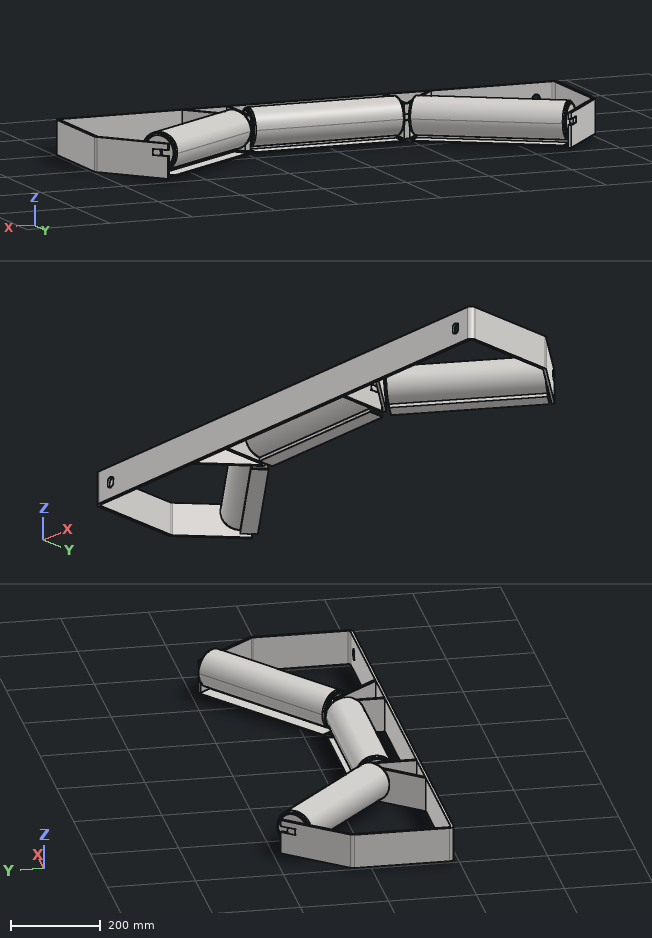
import cadquery as cq
import math

bar_thickness = 7.0
bar_height = 80.0
bend_radius = 12.5
frame_width = 1210.0

trough_angle = 40.0
tilt_angle = 1.5
plate_gap = 371.0

roller_diameter = 88.9
roller_length = 362.0
roller_chamfer = 3.0
end_cap_diameter = 75.0
end_cap_clearance = 1.2
shaft_diameter = 20.0
shaft_flats = 14.0
slot_depth = 60.0
end_cap_length = plate_gap - 2 * end_cap_clearance
shaft_length = plate_gap + 2 * bar_thickness

strip_width = 40.0
strip_thickness = 3.0
strip_drop = 53.1

middle_y = 98.5
middle_z = 48.5
side_z = 53.5
side_along = 235.0
side_across = -54.9
arm_end_across = -27.6
bracket_top = 128.5

fixing_x = 555.0
fixing_z = bar_height / 2
fixing_width = 18.0
fixing_height = 25.5

cos_trough = math.cos(math.radians(trough_angle))
sin_trough = math.sin(math.radians(trough_angle))


def plan_point(along, across):
    """X and Y of a point given along and across the left side roller."""
    return (sin_trough * across - cos_trough * along, cos_trough * across + sin_trough * along)


def along_at_x(along, x):
    """The point with this X on the plate face that lies square to the roller at this distance."""
    return (x, (along + cos_trough * x) / sin_trough)


def along_at_y(along, y):
    """The point with this Y on the plate face that lies square to the roller at this distance."""
    return ((sin_trough * y - along) / cos_trough, y)


def mirrored(points):
    return [(-x, y) for x, y in reversed(points)]


def place_middle(part):
    return part.translate((0, middle_y, middle_z))


def place_left(part):
    x, y = plan_point(side_along + plate_gap / 2, side_across)
    tilted = part.rotate((0, 0, 0), (0, 1, 0), tilt_angle)
    return tilted.rotate((0, 0, 0), (0, 0, 1), -trough_angle).translate((x, y, side_z))


def place_right(part):
    return place_left(part).mirror("YZ")


placements = [place_left, place_middle, place_right]


def shaft_slots():
    """Cutter for the two open slots that hold the flatted ends of one shaft."""
    bottom = -shaft_diameter / 2
    middle = bottom + slot_depth / 2
    slot = cq.Workplane("XY").box(3 * bar_thickness, slot_depth, shaft_flats).translate((0, middle, 0))
    offset = (plate_gap + bar_thickness) / 2
    return slot.translate((-offset, 0, 0)).union(slot.translate((offset, 0, 0)))


def cut_shaft_slots(plate):
    for place in placements:
        plate = plate.cut(place(shaft_slots()))
    return plate


def round_bend(plate, outside, inside):
    """Rounds the two upright edges of one bend of a plate."""
    for (x, y), radius in ((outside, bend_radius), (inside, bend_radius - bar_thickness)):
        corner = cq.selectors.BoxSelector((x - 1, y - 1, -1), (x + 1, y + 1, bar_height + 1))
        plate = plate.edges(corner).fillet(radius)
    return plate


def make_frame():
    half = frame_width / 2
    inner_face = side_along + plate_gap
    outer_face = inner_face + bar_thickness
    outside = [
        plan_point(outer_face, arm_end_across),
        along_at_x(outer_face, -half),
        (-half, 0),
    ]
    inside = [
        plan_point(inner_face, arm_end_across),
        along_at_x(inner_face, bar_thickness - half),
        (bar_thickness - half, bar_thickness),
    ]
    outside += mirrored(outside)
    inside += mirrored(inside)
    plate = cq.Workplane("XY").polyline(outside + inside[::-1]).close().extrude(bar_height)
    for outer_corner, inner_corner in list(zip(outside, inside))[1:-1]:
        plate = round_bend(plate, outer_corner, inner_corner)
    fixings = (
        cq.Workplane("XZ")
        .pushPoints([(-fixing_x, fixing_z), (fixing_x, fixing_z)])
        .slot2D(fixing_height, fixing_width, 90)
        .extrude(-2 * bar_thickness)
    )
    return cut_shaft_slots(plate.cut(fixings))


def make_left_bracket():
    inner_face = side_along - bar_thickness
    upright_x = -plate_gap / 2
    under_top = bracket_top - bar_thickness
    outline = [
        along_at_y(side_along, bar_thickness),
        along_at_y(side_along, bracket_top),
        (upright_x, bracket_top),
        (upright_x, bar_thickness),
        (upright_x - bar_thickness, bar_thickness),
        (upright_x - bar_thickness, under_top),
        along_at_y(inner_face, under_top),
        along_at_y(inner_face, bar_thickness),
    ]
    return cut_shaft_slots(cq.Workplane("XY").polyline(outline).close().extrude(bar_height))


def bar_along_x(length, diameter):
    return cq.Workplane("YZ").workplane(offset=-length / 2).circle(diameter / 2).extrude(length)


def make_roller():
    shell = bar_along_x(roller_length, roller_diameter).faces("<X or >X").chamfer(roller_chamfer)
    strip = (
        cq.Workplane("YZ")
        .workplane(offset=-roller_length / 2 + roller_chamfer)
        .polyline([
            (0, 0),
            (0, -strip_drop),
            (strip_width, -strip_drop),
            (strip_width, strip_thickness - strip_drop),
            (strip_thickness, strip_thickness - strip_drop),
            (strip_thickness, 0),
        ])
        .close()
        .extrude(roller_length - 2 * roller_chamfer)
    )
    end_caps = bar_along_x(end_cap_length, end_cap_diameter)
    return shell.union(strip).union(end_caps).cut(bar_along_x(end_cap_length, shaft_diameter))


def make_shaft():
    flatted_bar = cq.Workplane("XY").box(shaft_length, shaft_diameter, shaft_flats)
    round_middle = bar_along_x(roller_length, shaft_diameter)
    return bar_along_x(shaft_length, shaft_diameter).intersect(flatted_bar.union(round_middle))


frame = make_frame()
left_bracket = make_left_bracket()
brackets = [left_bracket, left_bracket.mirror("YZ")]
rollers = [place(make_roller()) for place in placements]
shafts = [place(make_shaft()) for place in placements]

bodies = [frame] + brackets + rollers + shafts
result = cq.Compound.makeCompound([body.val() for body in bodies])